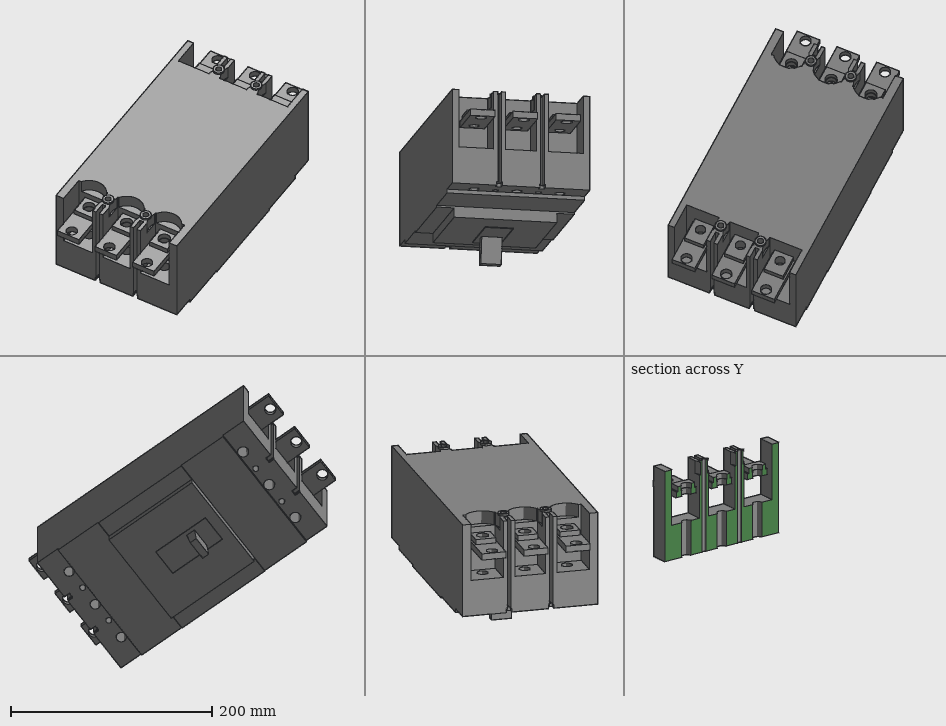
import cadquery as cq


width = 140.0
length = 255.0
height = 96.5
overall_length = 296.5
pole_pitch = 43.5

step_length = 204.0
step_bottom = -100.2
cover_bottom = -102.0
cover_front = -50.5
cover_back = 52.2
panel_width = 104.5
panel_bottom = -111.5
handle_plate_width = 28.5
handle_plate_front = -39.0
handle_plate_back = 22.2
handle_plate_bottom = -112.5

handle_width = 20.8
handle_bottom = -139.0
handle_root_front = -22.8
handle_root_back = -13.0
handle_tip_front = -25.0
handle_tip_back = -17.5

pocket_depth = 29.5
pocket_floor = -59.0
front_pocket_span = 122.5
back_pocket_span = 126.3
rib_width = 12.2
terminal_inset = 20.0
access_radius = 17.5
access_floor = -13.3

bar_width = 25.0
bar_top = -25.0
bar_thickness = 6.5
bar_wall_gap = 0.5
pad_width = 20.8
front_pad_length = 21.0
back_pad_length = 25.0
pad_top = -19.5
bar_hole_diameter = 11.3
bar_hole_inset = 7.0
front_pad_hole_diameter = 12.2
front_screw_diameter = 11.0
back_screw_diameter = 10.0

collar_inset = 20.5
collar_diameter = 11.3
collar_height = 2.0
mount_hole_diameter = 6.0
slot_width = 4.0
slot_depth = 12.5
slot_floor = -92.8
notch_width = 5.5
notch_depth = 6.0

end_y = length / 2
wall_y = end_y - pocket_depth
terminal_y = end_y - terminal_inset
collar_y = end_y - collar_inset
bar_hole_y = overall_length / 2 - bar_hole_inset
bar_start_y = wall_y + bar_wall_gap
pole_xs = [-pole_pitch, 0, pole_pitch]
rib_xs = [-pole_pitch / 2, pole_pitch / 2]
FRONT, BACK = -1, 1


def block(x_center, x_size, y_a, y_b, z_low, z_high):
    """Box centred on x_center that spans the given Y and Z ranges."""
    y_size = abs(y_b - y_a)
    box = cq.Workplane("XY").box(x_size, y_size, z_high - z_low, centered=(True, True, False))
    return box.translate((x_center, (y_a + y_b) / 2, z_low))


def cylinder(x, y, diameter, z_low, z_high):
    """Vertical cylinder between two heights."""
    circle = cq.Workplane("XY", origin=(x, y, z_low)).circle(diameter / 2)
    return circle.extrude(z_high - z_low)


def make_case():
    """Housing with its stepped underside and handle."""
    case = block(0, width, -end_y, end_y, -height, 0)
    case = case.union(block(0, width, -step_length / 2, step_length / 2, step_bottom, -height))
    case = case.union(block(0, width, cover_front, cover_back, cover_bottom, step_bottom))
    case = case.union(block(0, panel_width, cover_front, cover_back, panel_bottom, cover_bottom))
    case = case.union(block(0, handle_plate_width, handle_plate_front, handle_plate_back,
                            handle_plate_bottom, panel_bottom))
    handle = (
        cq.Workplane("YZ")
        .polyline([
            (handle_root_front, handle_plate_bottom),
            (handle_root_back, handle_plate_bottom),
            (handle_tip_back, handle_bottom),
            (handle_tip_front, handle_bottom),
        ])
        .close()
        .extrude(handle_width / 2, both=True)
    )
    return case.union(handle)


def pocket_cut(end, span):
    """Open terminal pockets at one end, leaving the two ribs between the poles."""
    pockets = block(0, span, end * wall_y, end * end_y, pocket_floor, 0)
    for x in rib_xs:
        pockets = pockets.cut(block(x, rib_width, end * wall_y, end * end_y, pocket_floor, 0))
    return pockets


def access_cut(end):
    """Shallow round tool recesses above the terminal screws of one end."""
    recesses = cq.Workplane("XY")
    for x in pole_xs:
        recesses = recesses.union(cylinder(x, end * terminal_y, 2 * access_radius, access_floor, 0))
    if end == BACK:
        recesses = recesses.intersect(block(0, width, wall_y, end_y, access_floor, 0))
    return recesses


def add_terminals(body, end, pad_length, pad_hole_diameter, screw_diameter):
    """Bars and pads of one end, with their screw holes running through the case."""
    bar_bottom = bar_top - bar_thickness
    for x in pole_xs:
        bar = block(x, bar_width, end * bar_start_y, end * overall_length / 2, bar_bottom, bar_top)
        pad = block(x, pad_width, end * wall_y, end * (wall_y + pad_length), bar_top, pad_top)
        body = body.union(bar).union(pad)
        body = body.cut(cylinder(x, end * bar_hole_y, bar_hole_diameter, bar_bottom, bar_top))
        body = body.cut(cylinder(x, end * terminal_y, pad_hole_diameter, bar_top, pad_top))
        body = body.cut(cylinder(x, end * terminal_y, screw_diameter, step_bottom, pad_top))
    return body


def finish_ribs(body, end):
    """Mounting collar, through hole and stepped end slot on each rib."""
    y = end * collar_y
    for x in rib_xs:
        body = body.union(cylinder(x, y, collar_diameter, 0, collar_height))
        body = body.cut(cylinder(x, y, mount_hole_diameter, step_bottom, collar_height))
        body = body.cut(block(x, slot_width, end * (end_y - slot_depth), end * end_y, slot_floor, 0))
        body = body.cut(block(x, notch_width, end * (end_y - notch_depth), end * end_y,
                              -height, slot_floor))
    return body


result = make_case()
for end, span in ((FRONT, front_pocket_span), (BACK, back_pocket_span)):
    result = result.cut(pocket_cut(end, span))
    result = result.cut(access_cut(end))
    result = finish_ribs(result, end)
result = add_terminals(
    result, FRONT, front_pad_length, front_pad_hole_diameter, front_screw_diameter
)
result = add_terminals(
    result, BACK, back_pad_length, back_screw_diameter, back_screw_diameter
)